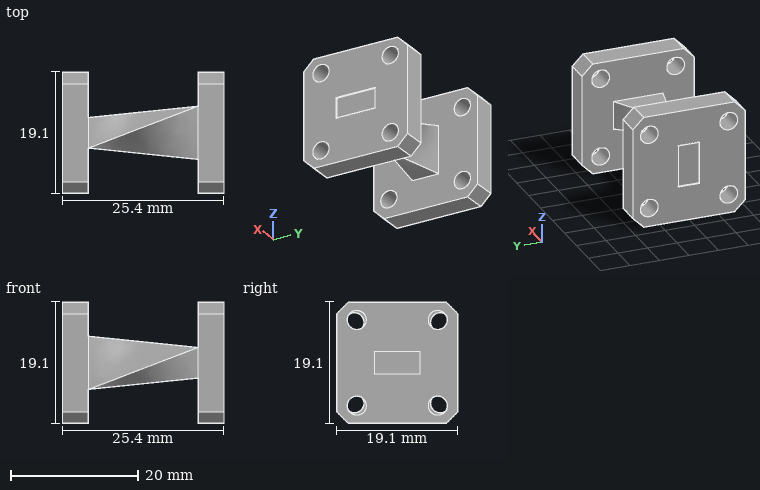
import cadquery as cq


length = 25.4
flange_side = 19.05
flange_thickness = 4.1
corner_chamfer = 1.83

core_narrow = 3.55
core_wide = 7.1
wall = 0.64
tube_narrow = core_narrow + 2 * wall
tube_wide = core_wide + 2 * wall
core_recess = 0.25

hole_diameter = 2.97
hole_spacing_across_narrow = 13.45
hole_spacing_across_wide = 12.7

outer_face = length / 2
inner_face = outer_face - flange_thickness
core_end = outer_face - core_recess


def block(x_start, x_end, size_y, size_z):
    """Box along X, centred on the X axis."""
    return cq.Workplane("YZ", origin=(x_start, 0, 0)).rect(size_y, size_z).extrude(x_end - x_start)


def twisted_bar(narrow, wide):
    """Bar between the flanges whose corners run straight through a quarter turn."""
    half_y = narrow / 2
    half_z = wide / 2
    corners = [(-half_y, -half_z), (half_y, -half_z), (half_y, half_z), (-half_y, half_z)]
    start = [cq.Vector(-inner_face, y, z) for y, z in corners]
    end = [cq.Vector(inner_face, z, -y) for y, z in corners]

    faces = []
    for points in (start, end):
        faces.append(cq.Face.makeFromWires(cq.Wire.makePolygon(points, close=True)))
    for i in range(len(corners)):
        j = (i + 1) % len(corners)
        start_edge = cq.Edge.makeLine(start[i], start[j])
        end_edge = cq.Edge.makeLine(end[i], end[j])
        faces.append(cq.Face.makeRuledSurface(start_edge, end_edge))
    solid = cq.Solid.makeSolid(cq.Shell.makeShell(faces))
    return cq.Workplane(solid.fix())


def twisted_channel(end_position):
    """Core section: straight through each flange, twisted between them."""
    start_leg = block(-end_position, -inner_face, core_narrow, core_wide)
    end_leg = block(inner_face, end_position, core_wide, core_narrow)
    return twisted_bar(core_narrow, core_wide).union(start_leg).union(end_leg)


def flange(x_start, hole_spacing_y, hole_spacing_z):
    """Square plate with chamfered corners and four screw holes."""
    plate = block(x_start, x_start + flange_thickness, flange_side, flange_side)
    plate = plate.edges("|X").chamfer(corner_chamfer)
    holes = (
        cq.Workplane("YZ", origin=(x_start, 0, 0))
        .rect(hole_spacing_y, hole_spacing_z, forConstruction=True)
        .vertices()
        .circle(hole_diameter / 2)
        .extrude(flange_thickness)
    )
    return plate.cut(holes)


def make_housing():
    """Both flanges and the tube, hollowed by the channel."""
    start_flange = flange(-outer_face, hole_spacing_across_narrow, hole_spacing_across_wide)
    end_flange = flange(inner_face, hole_spacing_across_wide, hole_spacing_across_narrow)
    tube = twisted_bar(tube_narrow, tube_wide)
    return start_flange.union(tube).union(end_flange).cut(twisted_channel(outer_face))


def make_core():
    """Solid filling of the channel, slightly recessed at both ends."""
    return twisted_channel(core_end)


housing = make_housing()
core = make_core()

result = cq.Compound.makeCompound([housing.solids().val(), core.solids().val()])